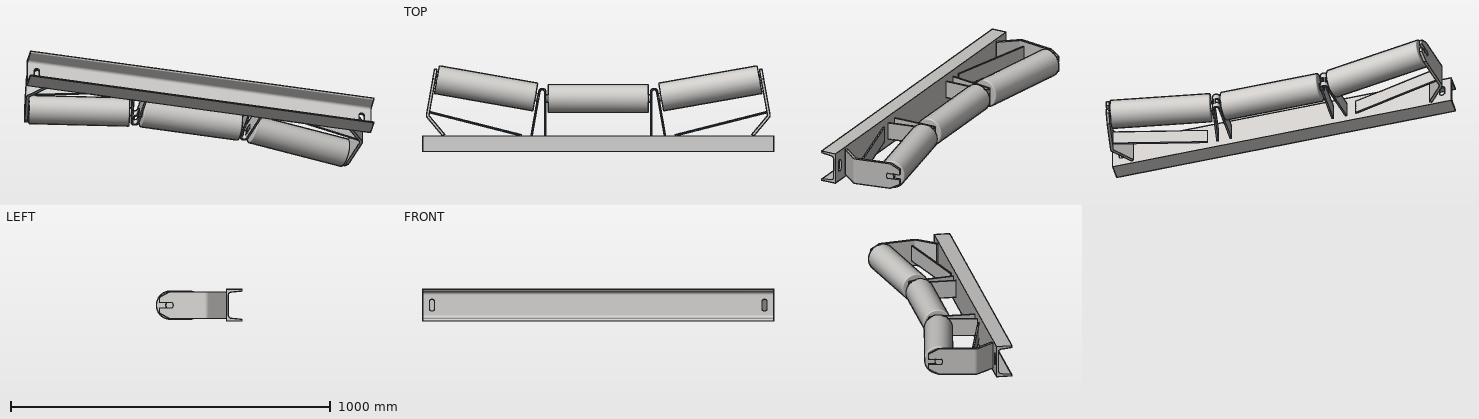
import cadquery as cq
import math


BEAM_LENGTH = 1100.0
BEAM_HEIGHT = 100.0
FLANGE_WIDTH = 50.0
WEB_THICKNESS = 7.0
FLANGE_TIP_THICKNESS = 6.0
FLANGE_ROOT_THICKNESS = 10.5
FLANGE_ROOT_RADIUS = 9.0
FLANGE_TIP_RADIUS = 4.0
PICK_MARGIN = 0.1
MOUNT_SLOT_WIDTH = 16.0
MOUNT_SLOT_HEIGHT = 37.0
MOUNT_SLOT_INSET = 30.0

ROLLER_DIAMETER = 89.0
ROLLER_LENGTH = 314.0
ROLLER_EDGE_RADIUS = 3.0
SHAFT_RADIUS = 12.0
SHAFT_FLAT_WIDTH = 16.0
TROUGH_ANGLE = 10.0
MIDDLE_ROLLER_Y = 117.0
SIDE_ROLLER_X = 351.0
SIDE_ROLLER_Y = 148.0

INNER_BRACKET_WIDTH = 55.0
OUTER_BRACKET_WIDTH = 84.0
BRACE_WIDTH = 50.0
SLOT_DEPTH = 66.0
WELD_SINK = 1.0

STRIP_THICKNESS = 5.0
UPRIGHT_LEG_X = 163.0
ARCH_TOP_Y = 148.0
ARCH_OUTER_RADIUS = 12.0

PLATE_THICKNESS = 9.0
PLATE_GAP = 4.0
PLATE_TOP = 32.0
PLATE_CHAMFER_LENGTH = 31.0
PLATE_CHAMFER_WIDTH = 16.0
FOOT_ANGLE = 40.0
BEND_OUTER_RADIUS = 14.0
BEND_Y = 65.0

BRACE_TOP_Y = 73.0
BRACE_END_X = 241.0

tilt = math.radians(TROUGH_ANGLE)
foot = math.radians(FOOT_ANGLE)


def along(point, angle, distance):
    """Point reached from a start point, at an angle anticlockwise from +X."""
    return (point[0] + distance * math.cos(angle), point[1] + distance * math.sin(angle))


def at_height(point, angle, y):
    """Point where the line through a point, at an angle from +X, reaches height y."""
    return (point[0] + (y - point[1]) / math.tan(angle), y)


def plate(outline, width):
    """Plate of a given Z width, centred on Z = 0, from an outline in the XY plane."""
    return outline.close().extrude(width).translate((0, 0, -width / 2))


def mirrored(shape):
    return shape.mirror("YZ")


def on_side_axis(shape):
    """Move a shape built on the X axis to the side roller at +X."""
    turned = shape.rotate((0, 0, 0), (0, 0, 1), TROUGH_ANGLE)
    return turned.translate((SIDE_ROLLER_X, SIDE_ROLLER_Y, 0))


def on_middle_axis(shape):
    return shape.translate((0, MIDDLE_ROLLER_Y, 0))


arch_center = (UPRIGHT_LEG_X + ARCH_OUTER_RADIUS, ARCH_TOP_Y - ARCH_OUTER_RADIUS)
middle_shaft_reach = UPRIGHT_LEG_X + STRIP_THICKNESS
arch_offset = ((arch_center[0] - SIDE_ROLLER_X) * math.cos(tilt)
               + (arch_center[1] - SIDE_ROLLER_Y) * math.sin(tilt))
leaning_leg_face = -(arch_offset + ARCH_OUTER_RADIUS)
side_inner_reach = leaning_leg_face + STRIP_THICKNESS
plate_face = ROLLER_LENGTH / 2 + PLATE_GAP
side_outer_reach = plate_face + PLATE_THICKNESS


def edges_along_beam(y, z):
    """Selector for the two lengthwise beam edges at height y and at +z and -z."""
    def box_around(edge_z):
        return cq.selectors.BoxSelector(
            (-BEAM_LENGTH, y - PICK_MARGIN, edge_z - PICK_MARGIN),
            (BEAM_LENGTH, y + PICK_MARGIN, edge_z + PICK_MARGIN),
        )
    return box_around(z) + box_around(-z)


def make_beam():
    """Channel with tapered flanges pointing to -Y and a mounting slot at each end of the web."""
    half = BEAM_HEIGHT / 2
    tip = half - FLANGE_TIP_THICKNESS
    root = half - FLANGE_ROOT_THICKNESS
    profile = (
        cq.Workplane("YZ", origin=(-BEAM_LENGTH / 2, 0, 0))
        .polyline([
            (0, -half), (-FLANGE_WIDTH, -half), (-FLANGE_WIDTH, -tip), (-WEB_THICKNESS, -root),
            (-WEB_THICKNESS, root), (-FLANGE_WIDTH, tip), (-FLANGE_WIDTH, half), (0, half),
        ])
        .close()
        .extrude(BEAM_LENGTH)
    )
    root_corners = edges_along_beam(-WEB_THICKNESS, root)
    tip_corners = edges_along_beam(-FLANGE_WIDTH, tip)
    beam = profile.edges(root_corners).fillet(FLANGE_ROOT_RADIUS)
    beam = beam.edges(tip_corners).fillet(FLANGE_TIP_RADIUS)
    slot_x = BEAM_LENGTH / 2 - MOUNT_SLOT_INSET
    slots = (
        cq.Workplane("XZ")
        .pushPoints([(-slot_x, 0), (slot_x, 0)])
        .slot2D(MOUNT_SLOT_HEIGHT, MOUNT_SLOT_WIDTH, 90)
        .extrude(WEB_THICKNESS)
    )
    return beam.cut(slots)


def make_inner_bracket():
    """Bent strip at +X, standing between the middle roller and the side roller."""
    cx, cy = arch_center
    inner_radius = ARCH_OUTER_RADIUS - STRIP_THICKNESS
    lean = math.pi / 2 + tilt
    mid_angle = (tilt + math.pi) / 2
    outer_tangent = along(arch_center, tilt, ARCH_OUTER_RADIUS)
    inner_tangent = along(arch_center, tilt, inner_radius)
    return plate(
        cq.Workplane("XY")
        .moveTo(UPRIGHT_LEG_X, -WELD_SINK)
        .lineTo(UPRIGHT_LEG_X, cy)
        .threePointArc(along(arch_center, mid_angle, ARCH_OUTER_RADIUS), outer_tangent)
        .lineTo(*at_height(outer_tangent, lean, -WELD_SINK))
        .lineTo(*at_height(inner_tangent, lean, -WELD_SINK))
        .lineTo(*inner_tangent)
        .threePointArc(along(arch_center, mid_angle, inner_radius), (cx - inner_radius, cy))
        .lineTo(cx - inner_radius, -WELD_SINK),
        INNER_BRACKET_WIDTH,
    )


def make_outer_bracket():
    """Plate at +X carrying the outer end of the side shaft, with its foot bent in to the beam."""
    lean = math.pi / 2 + tilt
    rise = math.pi / 2 - foot
    side_center = (SIDE_ROLLER_X, SIDE_ROLLER_Y)
    inner_top = along(along(side_center, tilt, plate_face), lean, PLATE_TOP)
    outer_top = along(inner_top, tilt, PLATE_THICKNESS)
    bend_inner_radius = BEND_OUTER_RADIUS - PLATE_THICKNESS
    bend_center = at_height(along(inner_top, tilt, -bend_inner_radius), lean, BEND_Y)
    mid_angle = (tilt - foot) / 2
    outer_bend_end = along(bend_center, -foot, BEND_OUTER_RADIUS)
    inner_bend_end = along(bend_center, -foot, bend_inner_radius)
    foot_corner = at_height(outer_bend_end, rise, -WELD_SINK)
    bracket = plate(
        cq.Workplane("XY")
        .moveTo(*outer_top)
        .lineTo(*along(bend_center, tilt, BEND_OUTER_RADIUS))
        .threePointArc(along(bend_center, mid_angle, BEND_OUTER_RADIUS), outer_bend_end)
        .lineTo(*foot_corner)
        .lineTo(*along(foot_corner, -foot, -PLATE_THICKNESS))
        .lineTo(*inner_bend_end)
        .threePointArc(
            along(bend_center, mid_angle, bend_inner_radius),
            along(bend_center, tilt, bend_inner_radius),
        )
        .lineTo(*inner_top),
        OUTER_BRACKET_WIDTH,
    )
    return bracket.cut(make_plate_corners())


def make_plate_corners():
    """Wedges that cut the two top corners off the outer plate."""
    edge = OUTER_BRACKET_WIDTH / 2
    wedge = (
        cq.Workplane("YZ", origin=(plate_face, 0, 0))
        .polyline([
            (PLATE_TOP, edge),
            (PLATE_TOP, edge - PLATE_CHAMFER_WIDTH),
            (PLATE_TOP - PLATE_CHAMFER_LENGTH, edge),
        ])
        .close()
        .extrude(PLATE_THICKNESS)
    )
    return on_side_axis(wedge.union(wedge.mirror("XY")))


def make_brace():
    """Flat strip at +X from the bend of the outer bracket to the web."""
    lower_end = (BRACE_END_X, -WELD_SINK)
    plate_inner = along((SIDE_ROLLER_X, SIDE_ROLLER_Y), tilt, plate_face)
    plate_middle = along(plate_inner, tilt, PLATE_THICKNESS / 2)
    top_end = at_height(plate_middle, math.pi / 2 + tilt, BRACE_TOP_Y)
    slope = math.atan2(top_end[1] - lower_end[1], top_end[0] - lower_end[0])
    across = slope + math.pi / 2
    return plate(
        cq.Workplane("XY")
        .moveTo(*lower_end)
        .lineTo(*top_end)
        .lineTo(*along(top_end, across, STRIP_THICKNESS))
        .lineTo(*along(lower_end, across, STRIP_THICKNESS)),
        BRACE_WIDTH,
    )


def cylinder(radius, start, end):
    """Cylinder on the X axis between two X positions."""
    return cq.Workplane("YZ", origin=(start, 0, 0)).circle(radius).extrude(end - start)


def make_roller():
    """Roller on the X axis, bored for its shaft."""
    half = ROLLER_LENGTH / 2
    drum = cylinder(ROLLER_DIAMETER / 2, -half, half).faces("|X").edges().fillet(ROLLER_EDGE_RADIUS)
    return drum.cut(cylinder(SHAFT_RADIUS, -half, half))


def make_tang(start, end):
    """Flatted shaft end on the X axis between two X positions."""
    length = end - start
    flats = cq.Workplane("XY", origin=(start + length / 2, 0, 0)).box(
        length, 2 * SHAFT_RADIUS, SHAFT_FLAT_WIDTH)
    return cylinder(SHAFT_RADIUS, start, end).intersect(flats)


def make_shaft(low_face, low_end, high_face, high_end):
    """Shaft on the X axis, round between two bracket faces and flatted inside the brackets."""
    shaft = cylinder(SHAFT_RADIUS, low_face, high_face)
    return shaft.union(make_tang(low_end, low_face)).union(make_tang(high_face, high_end))


def make_shaft_slot(start, end):
    """Slot on the X axis that fits a flatted shaft end and is open upwards."""
    length = end - start
    opening = cq.Workplane("XY", origin=(start + length / 2, SLOT_DEPTH / 2, 0)).box(
        length, SLOT_DEPTH, SHAFT_FLAT_WIDTH)
    return make_tang(start, end).union(opening)


def make_frame():
    """Beam with both inner brackets, outer brackets and braces welded on, slotted for the shafts."""
    middle_slot = on_middle_axis(make_shaft_slot(UPRIGHT_LEG_X, arch_center[0]))
    side_inner_slot = on_side_axis(make_shaft_slot(-side_inner_reach, -leaning_leg_face))
    side_outer_slot = on_side_axis(make_shaft_slot(plate_face, side_outer_reach))
    inner_bracket = make_inner_bracket().cut(middle_slot).cut(side_inner_slot)
    outer_bracket = make_outer_bracket().cut(side_outer_slot)
    frame = make_beam()
    for part in (inner_bracket, outer_bracket, make_brace()):
        frame = frame.union(part).union(mirrored(part))
    return frame


frame = make_frame()
roller = make_roller()
middle_shaft = make_shaft(-UPRIGHT_LEG_X, -middle_shaft_reach, UPRIGHT_LEG_X, middle_shaft_reach)
side_shaft = make_shaft(-leaning_leg_face, -side_inner_reach, plate_face, side_outer_reach)
side_roller = on_side_axis(roller)
side_shaft = on_side_axis(side_shaft)

rollers = [on_middle_axis(roller), side_roller, mirrored(side_roller)]
shafts = [on_middle_axis(middle_shaft), side_shaft, mirrored(side_shaft)]

result = cq.Compound.makeCompound([frame.val(), *[body.val() for body in rollers + shafts]])